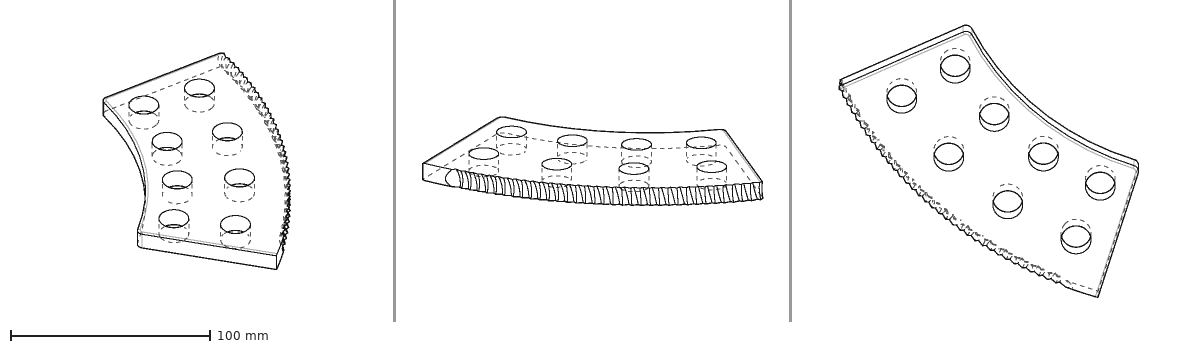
import cadquery as cq
import math

SECTOR_ANGLE = 48.0
OUTER_RADIUS = 212.8
INNER_RADIUS = 139.7
THICKNESS = 9.5

CORNER_RADIUS = 3.3
BEVEL_WIDTH = 1.4
BEVEL_HEIGHT = 0.4

HOLE_DIAMETER = 15.0
INNER_ROW_RADIUS = 155.9
OUTER_ROW_RADIUS = 187.3
HOLES_PER_ROW = 4

TOOTH_PITCH_ANGLE = 1.26
FIRST_GAP_ANGLE = 5.35
GAP_DEPTH_AT_FACES = 1.4
GAP_WIDTH_AT_FACES = 6.6
WORM_RADIUS = 8.0

HALF_THICKNESS = THICKNESS / 2
TOOTH_PITCH = OUTER_RADIUS * math.radians(TOOTH_PITCH_ANGLE)
GAP_TILT = math.degrees(math.atan(TOOTH_PITCH / 2 / THICKNESS))


def polar(radius, angle):
    """Point at a radius and an angle in degrees about the sector centre."""
    turn = math.radians(angle)
    return (radius * math.cos(turn), radius * math.sin(turn))


def make_sector():
    """Flat ring sector with rounded inner corners and bevelled inner and end edges."""
    mid_angle = SECTOR_ANGLE / 2
    sector = (
        cq.Workplane("XY")
        .workplane(offset=-HALF_THICKNESS)
        .moveTo(*polar(INNER_RADIUS, 0))
        .lineTo(*polar(OUTER_RADIUS, 0))
        .threePointArc(polar(OUTER_RADIUS, mid_angle), polar(OUTER_RADIUS, SECTOR_ANGLE))
        .lineTo(*polar(INNER_RADIUS, SECTOR_ANGLE))
        .threePointArc(polar(INNER_RADIUS, mid_angle), polar(INNER_RADIUS, 0))
        .close()
        .extrude(THICKNESS)
    )
    for angle in (0, SECTOR_ANGLE):
        corner = cq.selectors.NearestToPointSelector((*polar(INNER_RADIUS, angle), 0))
        sector = sector.edges("|Z").edges(corner).fillet(CORNER_RADIUS)

    solid = sector.val()
    for face in (sector.faces(">Z").val(), sector.faces("<Z").val()):
        outer_point = (*polar(OUTER_RADIUS, mid_angle), face.Center().z)
        rim = cq.Workplane(face).edges()
        outer_edge = rim.edges(cq.selectors.NearestToPointSelector(outer_point)).val()
        bevelled_edges = [edge for edge in rim.vals() if not edge.isSame(outer_edge)]
        solid = solid.chamfer(BEVEL_HEIGHT, BEVEL_WIDTH, bevelled_edges)
    return cq.Workplane(solid)


def make_holes():
    """Cylinders for both rows of holes."""
    spacing = SECTOR_ANGLE / HOLES_PER_ROW
    centres = [
        polar(radius, spacing * (i + 0.5))
        for radius in (INNER_ROW_RADIUS, OUTER_ROW_RADIUS)
        for i in range(HOLES_PER_ROW)
    ]
    return (
        cq.Workplane("XY")
        .workplane(offset=-HALF_THICKNESS)
        .pushPoints(centres)
        .circle(HOLE_DIAMETER / 2)
        .extrude(THICKNESS)
    )


def make_gap_cutter():
    """V-edged disc on the worm axis, standing at angle zero and tilted along the thread."""
    reach_at_faces = math.sqrt(WORM_RADIUS**2 - HALF_THICKNESS**2)
    worm_axis_radius = OUTER_RADIUS - GAP_DEPTH_AT_FACES + reach_at_faces
    flank_slope = GAP_WIDTH_AT_FACES / 2 / GAP_DEPTH_AT_FACES
    hub_radius = WORM_RADIUS / 2
    half_width = (WORM_RADIUS - hub_radius) * flank_slope
    disc = (
        cq.Workplane("XY")
        .polyline(
            [
                (0, -half_width),
                (-hub_radius, -half_width),
                (-WORM_RADIUS, 0),
                (-hub_radius, half_width),
                (0, half_width),
            ]
        )
        .close()
        .revolve(360, (0, 0, 0), (0, 1, 0))
    )
    return disc.rotate((0, 0, 0), (1, 0, 0), GAP_TILT).translate((worm_axis_radius, 0, 0))


def cut_teeth(body):
    """Cut one gap per pitch from the first gap to past the far end of the sector."""
    cutter = make_gap_cutter()
    gap_count = math.ceil((SECTOR_ANGLE - FIRST_GAP_ANGLE) / TOOTH_PITCH_ANGLE) + 1
    for i in range(gap_count):
        angle = FIRST_GAP_ANGLE + i * TOOTH_PITCH_ANGLE
        body = body.cut(cutter.rotate((0, 0, 0), (0, 0, 1), angle))
    return body


result = cut_teeth(make_sector().cut(make_holes()))